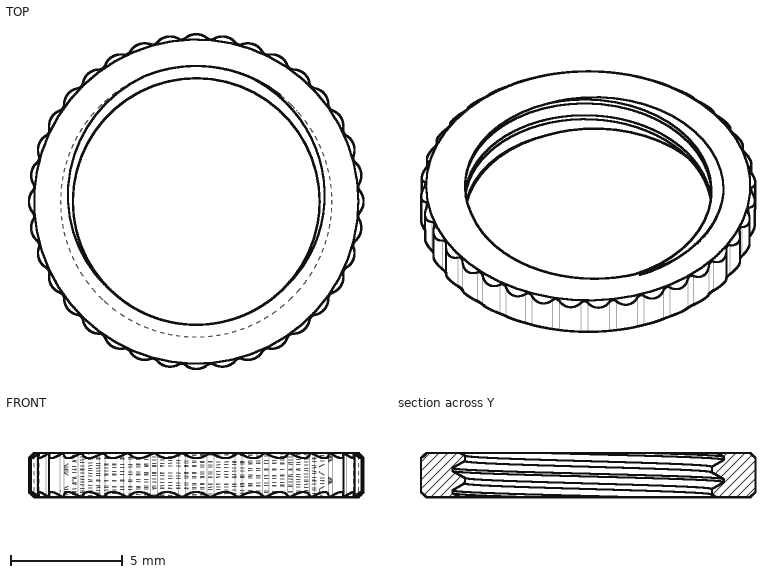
import cadquery as cq
import math

outer_radius = 7.5
height = 2.0
chamfer = 0.24

lobe_count = 36
lobe_radius = 0.75
valley_floor_radius = 7.29

minor_radius = 11.04 / 2
major_radius = 12.15 / 2
thread_pitch = height / 2
crest_width = thread_pitch / 4
root_width = thread_pitch / 8
cutter_overlap = 0.06


def polar(radius, angle):
    return (radius * math.cos(angle), radius * math.sin(angle))


def scalloped_disc():
    step = 2 * math.pi / lobe_count
    half_step = step / 2
    lobe_centre = outer_radius - lobe_radius
    valley_radius = (
        lobe_centre**2
        + valley_floor_radius**2
        - 2 * lobe_centre * valley_floor_radius * math.cos(half_step)
        - lobe_radius**2
    ) / (2 * (lobe_radius - valley_floor_radius + lobe_centre * math.cos(half_step)))
    valley_x, valley_y = polar(valley_floor_radius + valley_radius, half_step)
    along = lobe_radius / (lobe_radius + valley_radius)
    joint_x = lobe_centre + along * (valley_x - lobe_centre)
    joint_y = along * valley_y
    joint_radius = math.hypot(joint_x, joint_y)
    joint_angle = math.atan2(joint_y, joint_x)

    outline = cq.Workplane("XY").moveTo(*polar(joint_radius, -joint_angle))
    for index in range(lobe_count):
        angle = index * step
        outline = outline.threePointArc(
            polar(outer_radius, angle), polar(joint_radius, angle + joint_angle)
        )
        outline = outline.threePointArc(
            polar(valley_floor_radius, angle + half_step),
            polar(joint_radius, angle + step - joint_angle),
        )
    return outline.close().extrude(height)


def chamfered_envelope():
    return cq.Workplane("XY").circle(outer_radius).extrude(height).edges().chamfer(chamfer)


def thread_cutter():
    helix = cq.Wire.makeHelix(thread_pitch, height + 2 * thread_pitch, minor_radius)
    half_root = root_width / 2
    half_mouth = (thread_pitch - crest_width) / 2
    flank_slope = (half_mouth - half_root) / (major_radius - minor_radius)
    half_inner = half_mouth + flank_slope * cutter_overlap
    inner_radius = minor_radius - cutter_overlap
    groove = cq.Workplane("XZ").polyline(
        [
            (inner_radius, -half_inner),
            (major_radius, -half_root),
            (major_radius, half_root),
            (inner_radius, half_inner),
        ]
    ).close()
    cutter = groove.sweep(cq.Workplane(obj=helix), isFrenet=True)
    return cutter.rotate((0, 0, 0), (0, 0, 1), 90).translate((0, 0, -thread_pitch))


bore = cq.Workplane("XY").circle(minor_radius).extrude(height)
ring = scalloped_disc().intersect(chamfered_envelope()).cut(bore)
result = ring.cut(thread_cutter())